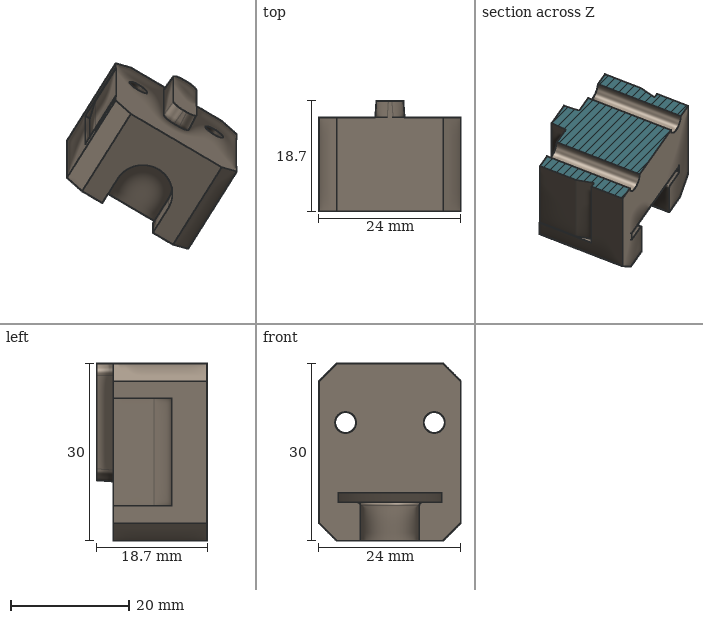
import cadquery as cq
import math

BODY_WIDTH = 24.0
BODY_DEPTH = 15.88
BODY_HEIGHT = 30.0
CORNER_CHAMFER = 3.0

HOLE_DIAMETER = 3.5
HOLE_SPACING = 15.0
HOLE_HEIGHT = 20.0

NECK_RADIUS = 5.0
HEAD_RADIUS = 8.75
HEAD_FLOOR = 6.5
HEAD_THICKNESS = 1.6
GROOVE_CENTRE_Y = 5.0
NECK_EDGE_FILLET = 0.5

RECESS_BOTTOM = 5.9
RECESS_HEIGHT = 18.2
RECESS_FRONT_Y = 6.0
RAMP_LENGTH = 3.0
PAD_DEPTH = 0.1
CATCH_DEPTH = 0.9

KEY_WIDTH = 5.0
KEY_HEIGHT = 20.0
KEY_PROJECTION = 2.8
KEY_DRAFT_ANGLE = 4.0
KEY_CORNER_RADIUS = 2.0


def make_body():
    block = cq.Workplane("XY").box(BODY_WIDTH, BODY_DEPTH, BODY_HEIGHT, centered=(True, False, False))
    return block.edges("|Y").chamfer(CORNER_CHAMFER)


def make_holes():
    return (
        cq.Workplane("XZ", origin=(0, 0, HOLE_HEIGHT))
        .pushPoints([(-HOLE_SPACING / 2, 0), (HOLE_SPACING / 2, 0)])
        .circle(HOLE_DIAMETER / 2)
        .extrude(-BODY_DEPTH)
    )


def round_ended_slot(radius, bottom, height):
    """Slot of the given half-width, open at the front with a half-round back end."""
    return (
        cq.Workplane("XY", origin=(0, 0, bottom))
        .moveTo(-radius, 0)
        .lineTo(-radius, GROOVE_CENTRE_Y)
        .threePointArc((0, GROOVE_CENTRE_Y + radius), (radius, GROOVE_CENTRE_Y))
        .lineTo(radius, 0)
        .close()
        .extrude(height)
    )


def cut_groove(body):
    neck = round_ended_slot(NECK_RADIUS, 0, HEAD_FLOOR)
    head = round_ended_slot(HEAD_RADIUS, HEAD_FLOOR, HEAD_THICKNESS)
    grooved = body.cut(neck).cut(head)
    rim_box = cq.selectors.BoxSelector(
        (-NECK_RADIUS - NECK_EDGE_FILLET, -NECK_EDGE_FILLET, HEAD_FLOOR - NECK_EDGE_FILLET),
        (NECK_RADIUS + NECK_EDGE_FILLET, GROOVE_CENTRE_Y + NECK_RADIUS, HEAD_FLOOR + NECK_EDGE_FILLET),
    )
    return grooved.edges(rim_box).fillet(NECK_EDGE_FILLET)


def make_left_recess():
    face_x = -BODY_WIDTH / 2
    ramp_end_y = RECESS_FRONT_Y + RAMP_LENGTH
    return (
        cq.Workplane("XY", origin=(0, 0, RECESS_BOTTOM))
        .polyline([
            (face_x, RECESS_FRONT_Y),
            (face_x + CATCH_DEPTH, RECESS_FRONT_Y),
            (face_x + PAD_DEPTH, ramp_end_y),
            (face_x + PAD_DEPTH, BODY_DEPTH),
            (face_x, BODY_DEPTH),
        ])
        .close()
        .extrude(RECESS_HEIGHT)
    )


def make_key():
    """Key whose sides and lower end are drafted, while its top stays level with the body."""
    draft = KEY_PROJECTION * math.tan(math.radians(KEY_DRAFT_ANGLE))
    tip_width = KEY_WIDTH - 2 * draft
    tip_height = KEY_HEIGHT - draft
    key = (
        cq.Workplane("XZ", origin=(0, BODY_DEPTH, BODY_HEIGHT - KEY_HEIGHT / 2))
        .rect(KEY_WIDTH, KEY_HEIGHT)
        .workplane(offset=-KEY_PROJECTION)
        .center(0, draft / 2)
        .rect(tip_width, tip_height)
        .loft(ruled=True)
    )
    projecting_corners = key.edges("not #Y")
    return projecting_corners.fillet(KEY_CORNER_RADIUS)


left_recess = make_left_recess()
right_recess = left_recess.mirror("YZ")

result = cut_groove(make_body())
result = result.cut(make_holes()).cut(left_recess).cut(right_recess)
result = result.union(make_key())